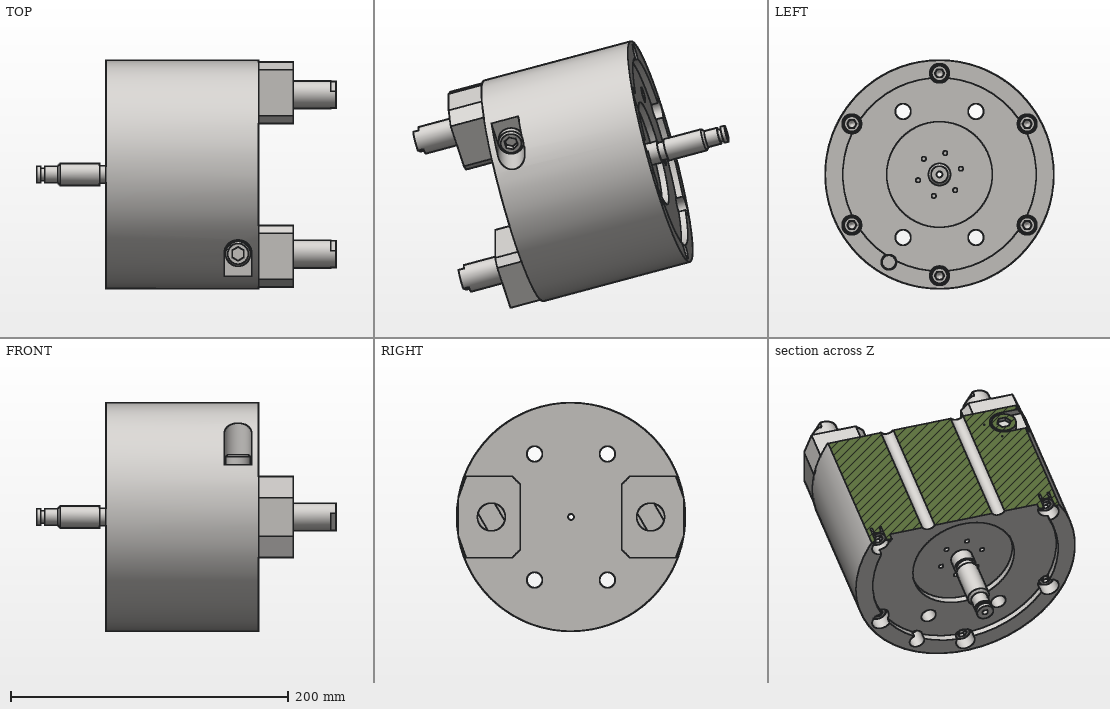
import cadquery as cq
import math

overall_length = 216
body_diameter = 165.0
body_length = 110.2
spindle_length = 50.0
block_length = 25.0
port_length = overall_length - spindle_length - body_length - block_length

outer_recess_diameter = 139.5
inner_recess_diameter = 76.2
recess_step = 5.0
recess_floor = 2 * recess_step

spindle_diameter = 16.0
spindle_tip_diameter = 12.0
snap_groove_diameter = 9.0
neck_diameter = 13.0
snap_groove_start = 3.0
snap_groove_width = 2.5
tip_length = 15.1
neck_start = 45.4
neck_length = 5.0
center_bore_diameter = 4.0

hole_count = 6
through_hole_diameter = 11.0
through_hole_circle_radius = 52.5
through_hole_angles = (30, 150, 210, 330)
tapped_hole_diameter = 3.2
tapped_hole_depth = 6.5
tapped_hole_circle_radius = 16.0
tapped_hole_start_angle = -15
screw_circle_radius = 73.0
dowel_angle = 150
dowel_hole_diameter = 11.0
dowel_diameter = 10.0
dowel_hole_depth = 20.0
dowel_length = 6.0

face_bore_diameter = 14.0
face_bore_depth = 14.7
face_head_diameter = 13.0
face_head_height = 6.0
face_head_chamfer = 0.97
face_socket_corners = 7.0
face_socket_depth = 3.0
face_socket_drill_diameter = 5.8
face_socket_drill_angle = 120

pocket_width = 20.0
pocket_setback = 15.0
pocket_offset_y = 57.2
pocket_floor_z = 37.8
side_head_diameter = 18.0
side_head_height = 7.1
side_head_chamfer = 1.5
side_socket_corners = 10.0
side_socket_depth = 5.5

block_outer_y = 81.2
block_inner_y = 36.7
block_height = 58.5
block_outer_flat = 27.6
block_chamfer = 5.6
port_diameter = 20.0
port_offset_y = 57.5
flats_length = 4.0
across_flats = 14.0
flats_angle = 60


def x_cylinder(diameter, start, length, y=0, z=0):
    """Cylinder along +X from X = start."""
    return cq.Workplane("YZ", origin=(start, y, z)).circle(diameter / 2).extrude(length)


def polar(radius, angle):
    """Y and Z of a point on a circle about X, the angle running from +Z towards +Y."""
    turn = math.radians(angle)
    return radius * math.sin(turn), radius * math.cos(turn)


def half_turn(shape):
    """Copy of a shape turned half a revolution about the spindle axis."""
    return shape.rotate((0, 0, 0), (1, 0, 0), 180)


def socket_head(diameter, height, chamfer, socket_corners, socket_depth):
    """Screw head standing on Z = 0 with a hexagon socket in its top."""
    head = cq.Workplane("XY").circle(diameter / 2).extrude(height)
    head = head.faces(">Z").chamfer(chamfer)
    socket = cq.Workplane("XY", origin=(0, 0, height - socket_depth))
    socket = socket.polygon(6, socket_corners).extrude(socket_depth)
    return head.cut(socket.rotate((0, 0, 0), (0, 0, 1), 90))


def make_body():
    body = x_cylinder(body_diameter, 0, body_length)
    body = body.cut(x_cylinder(outer_recess_diameter, 0, recess_step))
    return body.cut(x_cylinder(inner_recess_diameter, 0, recess_floor))


def add_face_screws(body):
    head = socket_head(
        face_head_diameter,
        face_head_height,
        face_head_chamfer,
        face_socket_corners,
        face_socket_depth,
    )
    drill_radius = face_socket_drill_diameter / 2
    drill_depth = drill_radius / math.tan(math.radians(face_socket_drill_angle / 2))
    socket_floor = face_head_height - face_socket_depth
    drill_tip = cq.Solid.makeCone(0, drill_radius, drill_depth, cq.Vector(0, 0, socket_floor - drill_depth))
    head = head.cut(cq.Workplane(drill_tip)).rotate((0, 0, 0), (0, 1, 0), -90)
    for index in range(hole_count):
        y, z = polar(screw_circle_radius, index * 360 / hole_count)
        body = body.cut(x_cylinder(face_bore_diameter, 0, face_bore_depth, y, z))
        body = body.union(head.translate((face_bore_depth, y, z)))
    return body


def add_dowel(body):
    y, z = polar(screw_circle_radius, dowel_angle)
    body = body.cut(x_cylinder(dowel_hole_diameter, 0, dowel_hole_depth, y, z))
    return body.union(x_cylinder(dowel_diameter, dowel_hole_depth - dowel_length, dowel_length, y, z))


def cut_face_holes(body):
    for angle in through_hole_angles:
        y, z = polar(through_hole_circle_radius, angle)
        body = body.cut(x_cylinder(through_hole_diameter, 0, body_length, y, z))
    for index in range(hole_count):
        y, z = polar(tapped_hole_circle_radius, index * 360 / hole_count + tapped_hole_start_angle)
        body = body.cut(x_cylinder(tapped_hole_diameter, recess_floor, tapped_hole_depth, y, z))
    return body


def add_side_pockets(body):
    center_x = body_length - pocket_setback
    floor_center = (center_x, -pocket_offset_y, pocket_floor_z)
    reach = body_diameter / 2
    round_end = cq.Workplane("XY", origin=floor_center).circle(pocket_width / 2).extrude(reach)
    outward_side = cq.Workplane("XY", origin=(center_x, -pocket_offset_y - reach / 2, pocket_floor_z))
    opening = outward_side.rect(pocket_width, reach).extrude(reach)
    pocket = round_end.union(opening)
    head = socket_head(
        side_head_diameter, side_head_height, side_head_chamfer, side_socket_corners, side_socket_depth
    ).translate(floor_center)
    body = body.cut(pocket).cut(half_turn(pocket))
    return body.union(head).union(half_turn(head))


def make_spindle():
    tip = -spindle_length
    radius = spindle_diameter / 2
    tip_radius = spindle_tip_diameter / 2
    groove_radius = snap_groove_diameter / 2
    neck_radius = neck_diameter / 2
    groove_start = tip + snap_groove_start
    groove_end = groove_start + snap_groove_width
    shoulder = tip + tip_length
    neck = tip + neck_start
    neck_end = neck + neck_length
    profile = [
        (tip, 0),
        (tip, tip_radius),
        (groove_start, tip_radius),
        (groove_start, groove_radius),
        (groove_end, groove_radius),
        (groove_end, tip_radius),
        (shoulder, tip_radius),
        (shoulder + radius - tip_radius, radius),
        (neck, radius),
        (neck, neck_radius),
        (neck_end, neck_radius),
        (neck_end, radius),
        (recess_floor, radius),
        (recess_floor, 0),
    ]
    return cq.Workplane("XY").polyline(profile).close().revolve(360, (0, 0, 0), (1, 0, 0))


def make_block():
    """Connector block on the -Y side: long bevels outside, short chamfers inside."""
    half_height = block_height / 2
    half_flat = block_outer_flat / 2
    upper = [
        (-block_outer_y, half_flat),
        (-block_outer_y + block_chamfer, half_height),
        (-block_inner_y - block_chamfer, half_height),
        (-block_inner_y, half_height - block_chamfer),
    ]
    lower = [(y, -z) for y, z in reversed(upper)]
    section = cq.Workplane("YZ", origin=(body_length, 0, 0))
    return section.polyline(upper + lower).close().extrude(block_length)


def make_port(y):
    """Round port whose end carries two parallel flats."""
    start = body_length + block_length
    round_length = port_length - flats_length
    port = x_cylinder(port_diameter, start, round_length, y)
    end = x_cylinder(port_diameter, start + round_length, flats_length, y)
    key = cq.Workplane("YZ", origin=(start + round_length, y, 0))
    key = key.transformed(rotate=(0, 0, -flats_angle)).rect(port_diameter, across_flats).extrude(flats_length)
    return port.union(end.intersect(key))


body = make_body()
body = add_face_screws(body)
body = add_dowel(body)
body = cut_face_holes(body)
body = add_side_pockets(body)
block = make_block()
result = body.union(make_spindle()).union(block).union(block.mirror("XZ"))
for side in (-1, 1):
    result = result.union(make_port(side * port_offset_y))
result = result.cut(x_cylinder(center_bore_diameter, -spindle_length, overall_length))